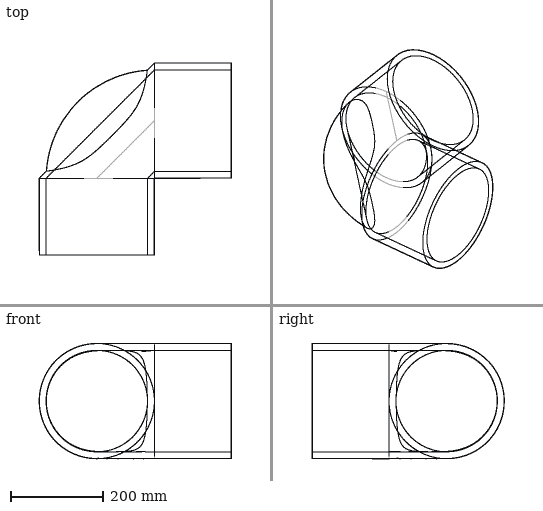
import cadquery as cq
import math

overall_length = 417.0
outer_diameter = 250.0
wall = 15.0

outer_radius = outer_diameter / 2
bore_radius = outer_radius - wall
socket_length = overall_length - outer_diameter
bend_angle = 90


def socket_y(radius):
    """Straight socket opening toward -Y."""
    return cq.Workplane("XZ").center(-outer_radius, 0).circle(radius).extrude(socket_length)


def socket_x(radius):
    """Straight socket opening toward +X."""
    return cq.Workplane("YZ").center(outer_radius, 0).circle(radius).extrude(socket_length)


def diagonal_tube(radius):
    """Oblique cylinder whose end sections are the socket circles."""
    diagonal = cq.Plane(
        origin=(-outer_diameter, -outer_radius, 0), xDir=(-1, 1, 0), normal=(1, 1, 0)
    )
    tube = cq.Workplane(diagonal).ellipse(radius / math.sqrt(2), radius)
    tube = tube.extrude(2 * outer_diameter)
    corner = cq.Workplane("XY").box(outer_diameter, outer_diameter, outer_diameter)
    corner = corner.translate((-outer_radius, outer_radius, 0))
    return tube.intersect(corner)


def elbow_path(radius):
    """Both sockets joined by the diagonal tube."""
    return diagonal_tube(radius).union(socket_y(radius)).union(socket_x(radius))


def bend_bulge():
    """Quarter torus of bore size that rounds the outside of the bend."""
    section = cq.Workplane("XZ").center(-outer_radius, 0).circle(bore_radius)
    return section.revolve(bend_angle, (outer_radius, 4), (outer_radius, 0))


result = elbow_path(outer_radius).union(bend_bulge()).cut(elbow_path(bore_radius))